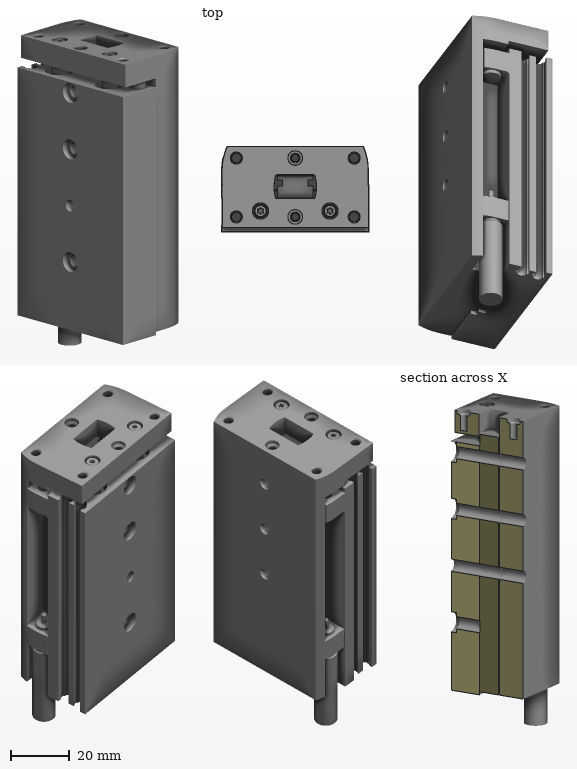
import cadquery as cq
import math


housing_width = 50.0
overall_depth = 29.0
overall_height = 112.4
hole_pitch = 20.0

housing_half = housing_width / 2
housing_top = 101.3
housing_length = 88.0
housing_bottom = housing_top - housing_length
housing_depth = 16.0

slide_half = 24.8
end_plate_thickness = 8.0
end_plate_bottom = overall_height - end_plate_thickness
end_plate_front = 1.5
slide_bottom = 14.4
slide_front = 16.3
back_plate_front = 25.5
shoulder_y = 21.0
side_run_in = 1.7

pocket_wall_x = -15.4
pocket_ceiling = 103.1
pocket_fillet = 1.7
slide_lug_bottom = 31.0
slide_lug_top = 39.0

rail_top = 105.4
rail_front = 11.5
rail_back = 19.1
rail_half = 6.1
rail_neck_half = 4.3
rail_neck_front = 15.6
rail_neck_back = 17.6
rail_back_gap = 0.2
window_front_gap = 0.1
window_end_half = 6.6
window_middle_half = 7.2
window_corner_fillet = 0.5
tongue_front = 14.3
tongue_half = 7.9
tongue_side_gap = 0.2
channel_floor = 13.9

small_chamfer = 0.3

rod_offset = 11.8
rod_y = 7.1
rod_diameter = 6.0
rod_neck_diameter = 4.5
rod_neck_top = 112.0
rod_seat_diameter = 5.5
rod_seat_depth = 1.8
gland_diameter = 10.0
gland_depth = 3.9
rod_bottom = 22.5
star_diameter = 2.5
star_depth = 1.1
star_points = 6
star_inner_ratio = 0.6

cushion_x = -20.7
cushion_y = 21.0
absorber_diameter = 8.0
absorber_shoulder = 30.0
absorber_neck_diameter = 7.0
absorber_nose_diameter = 5.6
absorber_nose_top = 40.5
absorber_pin_diameter = 1.8
absorber_pin_top = 44.2

stop_lug_bottom = 91.6
stop_lug_top = 99.4
stop_lug_back = 25.1
stop_lug_inner_x = -16.0
stop_lug_fillet = 1.0
stop_pad_diameter = 7.0
stop_pad_height = 1.1
stop_bore_diameter = 4.2
stop_bore_depth = 4.5

slot_centers = (3.9, 9.8)
slot_opening = 3.5
slot_wing_width = 4.5
slot_wing_start = 1.5
slot_wing_end = 3.4
slot_rib_recess = 1.1

screw_x = hole_pitch
screw_y = 12.0
screw_head_diameter = 6.0
screw_head_height = 1.3
screw_tip_diameter = 3.3
screw_tip_height = 2.1

mount_hole_diameter = 4.2
mount_bore_diameter = 7.0
mount_bore_depth = 2.1
mount_count = 4
mount_top_offset = 3.8
mount_z = [housing_top - mount_top_offset - i * hole_pitch for i in range(mount_count)]
bored_z = [mount_z[0], mount_z[1], mount_z[3]]
through_z = mount_z[:3]

plate_hole_front_y = 5.1
plate_hole_rows = (plate_hole_front_y, plate_hole_front_y + hole_pitch)
plate_hole_depth = 6.7
corner_hole_diameter = 3.3
corner_mouth_diameter = 4.0
center_hole_diameter = 2.5
center_mouth_diameter = 3.3
center_bore_diameter = 5.0
center_bore_depth = 1.2


def box(x_min, x_max, y_min, y_max, z_min, z_max):
    size = (x_max - x_min, y_max - y_min, z_max - z_min)
    return cq.Workplane("XY").box(*size, centered=False).translate((x_min, y_min, z_min))


def cylinder(x, y, diameter, z_min, z_max):
    return cq.Workplane("XY", origin=(x, y, z_min)).circle(diameter / 2).extrude(z_max - z_min)


def cross_hole(z, diameter, depth):
    """Round cutter along +Y from the mounting face, on the centre line."""
    return cq.Workplane("XZ", origin=(0, 0, z)).circle(diameter / 2).extrude(-depth)


def chamfered_hole(x, y, diameter, mouth_diameter, z_mouth, z_bottom):
    """Vertical hole cutter with a 45 degree chamfer at its mouth."""
    chamfer = (mouth_diameter - diameter) / 2
    cone = cq.Workplane(cq.Solid.makeCone(diameter / 2, mouth_diameter / 2, chamfer)).translate(
        (x, y, z_mouth - chamfer))
    return cylinder(x, y, diameter, z_bottom, z_mouth).union(cone)


def outer_section(half_width, front, z_min, z_max):
    """Full-width prism whose sides curve inwards behind the shoulder."""
    back_half = half_width - side_run_in
    rise = overall_depth - shoulder_y
    radius = (side_run_in ** 2 + rise ** 2) / (2 * side_run_in)
    mid_y = shoulder_y + rise / 2
    mid_x = half_width - radius + math.sqrt(radius ** 2 - (rise / 2) ** 2)
    return (
        cq.Workplane("XY", origin=(0, 0, z_min))
        .moveTo(-half_width, front)
        .lineTo(half_width, front)
        .lineTo(half_width, shoulder_y)
        .threePointArc((mid_x, mid_y), (back_half, overall_depth))
        .lineTo(-back_half, overall_depth)
        .threePointArc((-mid_x, mid_y), (-half_width, shoulder_y))
        .close()
        .extrude(z_max - z_min)
    )


def rail_section(back, z_min, z_max):
    """I-shaped guide profile whose head reaches to the given back plane."""
    base = box(-rail_half, rail_half, rail_front, rail_neck_front, z_min, z_max)
    neck = box(-rail_neck_half, rail_neck_half, rail_neck_front, rail_neck_back, z_min, z_max)
    head = box(-rail_half, rail_half, rail_neck_back, back, z_min, z_max)
    return base.union(neck).union(head)


def window_section(z_min, z_max):
    """Window with bulged sides around the guide rail."""
    front = rail_front - window_front_gap
    back = rail_back + rail_back_gap
    middle = (front + back) / 2
    return (
        cq.Workplane("XY", origin=(0, 0, z_min))
        .moveTo(-window_end_half, front)
        .lineTo(window_end_half, front)
        .threePointArc((window_middle_half, middle), (window_end_half, back))
        .lineTo(-window_end_half, back)
        .threePointArc((-window_middle_half, middle), (-window_end_half, front))
        .close()
        .extrude(z_max - z_min)
        .edges("|Z")
        .fillet(window_corner_fillet)
    )


def sensor_slot(y):
    """T-shaped slot with a round bottom, running the full height of the left side."""
    wing_x_min = -housing_half + slot_wing_start
    wing_x_max = -housing_half + slot_wing_end
    half_opening = slot_opening / 2
    half_wing = slot_wing_width / 2
    mouth = box(-housing_half, wing_x_max, y - half_opening, y + half_opening, housing_bottom, housing_top)
    wings = box(wing_x_min, wing_x_max, y - half_wing, y + half_wing, housing_bottom, housing_top)
    bottom = cylinder(wing_x_max, y, slot_opening, housing_bottom, housing_top)
    return mouth.union(wings).union(bottom)


def stop_lug():
    prism = outer_section(housing_half, housing_depth, stop_lug_bottom, stop_lug_top)
    lug = prism.intersect(
        box(-housing_half, stop_lug_inner_x, housing_depth, stop_lug_back, stop_lug_bottom, stop_lug_top))
    return lug.union(
        cylinder(cushion_x, cushion_y, stop_pad_diameter, stop_lug_bottom - stop_pad_height, stop_lug_bottom))


def top_screw():
    head = cylinder(screw_x, screw_y, screw_head_diameter, housing_top, housing_top + screw_head_height)
    tip = cylinder(screw_x, screw_y, screw_tip_diameter, housing_top, housing_top + screw_tip_height)
    return head.union(tip)


def make_housing():
    body = box(-housing_half, housing_half, 0, housing_depth, housing_bottom, housing_top)
    body = body.union(stop_lug())
    lug_root = cq.selectors.NearestToPointSelector((cushion_x, housing_depth, stop_lug_bottom))
    body = body.edges("|X").edges(lug_root).fillet(stop_lug_fillet)
    body = body.cut(
        cylinder(cushion_x, cushion_y, stop_bore_diameter, stop_lug_top - stop_bore_depth, stop_lug_top))
    for y in slot_centers:
        body = body.cut(sensor_slot(y))
    body = body.cut(
        box(-housing_half, -housing_half + slot_rib_recess, *slot_centers, housing_bottom, housing_top))
    channel_half = tongue_half + tongue_side_gap
    body = body.cut(
        box(-channel_half, channel_half, channel_floor, housing_depth, housing_bottom, housing_top))
    body = body.cut(box(-rail_half, rail_half, rail_front, housing_depth, housing_bottom, housing_top))
    for x in (-rod_offset, rod_offset):
        body = body.cut(cylinder(x, rod_y, rod_diameter, rod_bottom, housing_top))
        body = body.cut(cylinder(x, rod_y, gland_diameter, housing_top - gland_depth, housing_top))
    for z in mount_z:
        body = body.cut(cross_hole(z, mount_hole_diameter, housing_depth))
    for z in bored_z:
        body = body.cut(cross_hole(z, mount_bore_diameter, mount_bore_depth))
    return body.union(top_screw())


def side_pocket():
    """Pocket left of the centre block, with rounded corners along the inner wall."""
    pocket = box(-housing_half, pocket_wall_x, 0, back_plate_front, slide_lug_top, pocket_ceiling)
    return pocket.edges("|Y and >X").fillet(pocket_fillet)


def end_plate_holes():
    cutters = []
    bottom = overall_height - plate_hole_depth
    for y in plate_hole_rows:
        for x in (-hole_pitch, hole_pitch):
            cutters.append(
                chamfered_hole(x, y, corner_hole_diameter, corner_mouth_diameter, overall_height, bottom))
        bore_floor = overall_height - center_bore_depth
        cutters.append(cylinder(0, y, center_bore_diameter, bore_floor, overall_height))
        cutters.append(
            chamfered_hole(0, y, center_hole_diameter, center_mouth_diameter, bore_floor, bottom))
    for x in (-rod_offset, rod_offset):
        cutters.append(cylinder(x, rod_y, rod_neck_diameter, end_plate_bottom, overall_height))
        cutters.append(cylinder(x, rod_y, rod_seat_diameter, overall_height - rod_seat_depth, overall_height))
    return cutters


def make_slide():
    body = outer_section(slide_half, slide_front, slide_bottom, end_plate_bottom)
    body = body.cut(side_pocket())
    body = body.cut(box(-housing_half, pocket_wall_x, 0, back_plate_front, slide_bottom, slide_lug_bottom))
    body = body.union(outer_section(slide_half, end_plate_front, end_plate_bottom, overall_height))
    body = body.union(box(-tongue_half, tongue_half, tongue_front, slide_front, slide_bottom, housing_top))
    body = body.cut(window_section(housing_top, overall_height))
    body = body.cut(rail_section(rail_back + rail_back_gap, slide_bottom, housing_top))
    for cutter in end_plate_holes():
        body = body.cut(cutter)
    for z in through_z:
        body = body.cut(cross_hole(z, mount_hole_diameter, overall_depth))
    return body.cut(
        cylinder(cushion_x, cushion_y, absorber_nose_diameter, slide_lug_bottom, slide_lug_top))


def make_guide_rail():
    rail = rail_section(rail_back, slide_bottom, rail_top)
    for z in through_z:
        rail = rail.cut(cross_hole(z, mount_hole_diameter, overall_depth))
    return rail


def star_recess(x):
    radius = star_diameter / 2
    points = []
    for i in range(2 * star_points):
        reach = radius if i % 2 == 0 else radius * star_inner_ratio
        angle = math.pi / 2 + i * math.pi / star_points
        points.append((reach * math.cos(angle), reach * math.sin(angle)))
    floor = rod_neck_top - star_depth
    return cq.Workplane("XY", origin=(x, rod_y, floor)).polyline(points).close().extrude(star_depth)


def make_piston_rod(x):
    rod = cylinder(x, rod_y, rod_diameter, rod_bottom, end_plate_bottom)
    neck = cylinder(x, rod_y, rod_neck_diameter, end_plate_bottom, rod_neck_top)
    neck = neck.faces(">Z").chamfer(small_chamfer)
    return rod.union(neck).cut(star_recess(x))


def make_shock_absorber():
    body = cylinder(cushion_x, cushion_y, absorber_diameter, 0, absorber_shoulder)
    body = body.faces(">Z").chamfer(small_chamfer)
    neck = cylinder(cushion_x, cushion_y, absorber_neck_diameter, absorber_shoulder, slide_lug_bottom)
    nose = cylinder(cushion_x, cushion_y, absorber_nose_diameter, slide_lug_bottom, absorber_nose_top)
    nose = nose.faces(">Z").chamfer(small_chamfer)
    pin = cylinder(cushion_x, cushion_y, absorber_pin_diameter, absorber_nose_top, absorber_pin_top)
    pin = pin.faces(">Z").chamfer(small_chamfer)
    return body.union(neck).union(nose).union(pin)


housing = make_housing()
slide = make_slide()
guide_rail = make_guide_rail()
piston_rods = [make_piston_rod(x) for x in (-rod_offset, rod_offset)]
shock_absorber = make_shock_absorber()

result = cq.Compound.makeCompound([
    housing.val(),
    slide.val(),
    guide_rail.val(),
    *[rod.val() for rod in piston_rods],
    shock_absorber.val(),
])